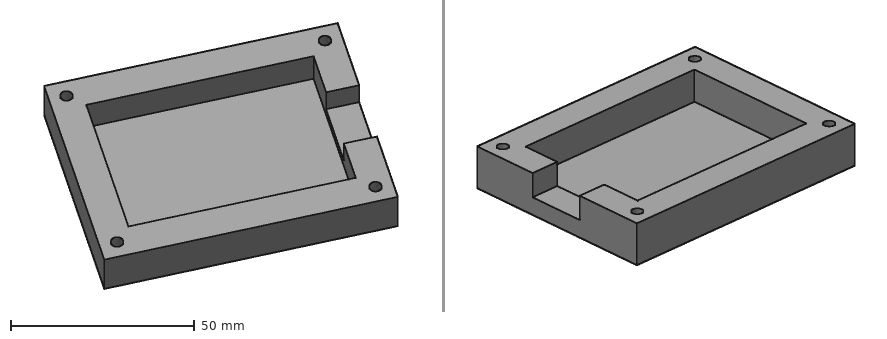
import cadquery as cq

width = 62.6
length = 83.1
height = 13.0

wall = 9.4
floor_thickness = 3.0

notch_width = 18.45
notch_depth = 7.5
notch_offset_x = 0.3

hole_diameter = 3.4
hole_inset = 5.0

block = cq.Workplane("XY").box(width, length, height, centered=(True, True, False))

pocket = (
    cq.Workplane("XY")
    .workplane(offset=floor_thickness)
    .rect(width - 2 * wall, length - 2 * wall)
    .extrude(height - floor_thickness)
)

notch = (
    cq.Workplane("XY")
    .workplane(offset=height - notch_depth)
    .center(notch_offset_x, (length - wall) / 2)
    .rect(notch_width, wall)
    .extrude(notch_depth)
)

corner_holes = (
    cq.Workplane("XY")
    .rect(width - 2 * hole_inset, length - 2 * hole_inset, forConstruction=True)
    .vertices()
    .circle(hole_diameter / 2)
    .extrude(height)
)

result = block.cut(pocket).cut(notch).cut(corner_holes)